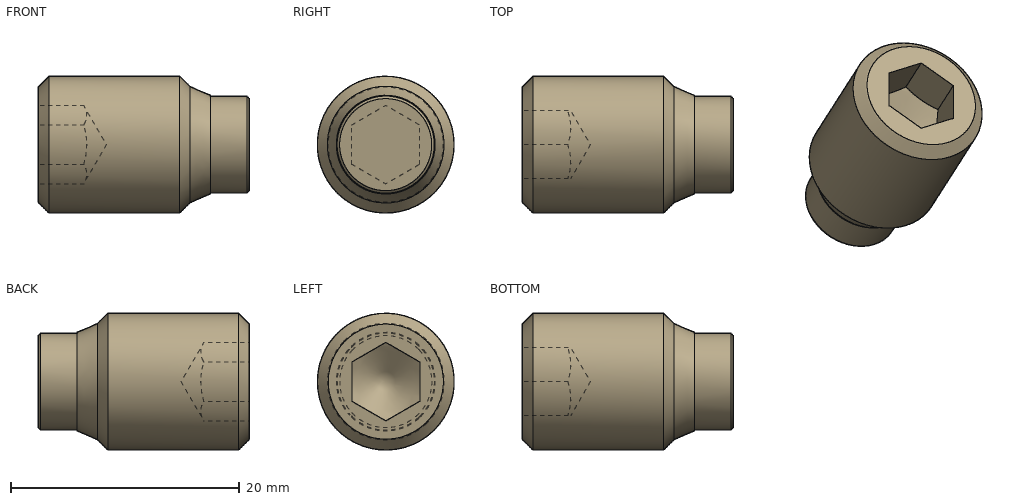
import cadquery as cq
import math

length = 18.5
body_diameter = 12.0
body_radius = body_diameter / 2
neck_radius = 4.25

bevel_length = 0.95
edge_break_length = 0.1
edge_break_height = 0.11

shoulder_start = 12.4
shoulder_bevel = 0.89
flare_end = 15.1
flare_end_radius = 4.33
flare_sag = 0.02

tip_chamfer = 0.22

hex_flats = 5.95
hex_depth = 4.0
floor_cone_angle = 120.0


def make_body():
    """Revolve the outer profile about the X axis."""
    bevel_inner_radius = body_radius - (bevel_length - edge_break_length)
    face_radius = bevel_inner_radius - edge_break_height
    flare_start = shoulder_start + shoulder_bevel
    flare_start_radius = body_radius - shoulder_bevel
    flare_middle = (
        (flare_start + flare_end) / 2,
        (flare_start_radius + flare_end_radius) / 2 - flare_sag,
    )
    profile = (
        cq.Workplane("XY")
        .moveTo(0, 0)
        .lineTo(0, face_radius)
        .lineTo(edge_break_length, bevel_inner_radius)
        .lineTo(bevel_length, body_radius)
        .lineTo(shoulder_start, body_radius)
        .lineTo(flare_start, flare_start_radius)
        .threePointArc(flare_middle, (flare_end, flare_end_radius))
        .lineTo(flare_end, neck_radius)
        .lineTo(length - tip_chamfer, neck_radius)
        .lineTo(length, neck_radius - tip_chamfer)
        .lineTo(length, 0)
        .close()
    )
    return profile.revolve(360, (0, 0, 0), (1, 0, 0))


def make_socket():
    """Hexagonal prism with corners up and down, trimmed by the floor cone."""
    corner_radius = hex_flats / math.sqrt(3)
    corners = [
        (
            corner_radius * math.sin(math.radians(60 * i)),
            corner_radius * math.cos(math.radians(60 * i)),
        )
        for i in range(6)
    ]
    cone_height = corner_radius / math.tan(math.radians(floor_cone_angle / 2))
    prism = cq.Workplane("YZ").polyline(corners).close().extrude(hex_depth + cone_height)
    envelope = (
        cq.Workplane("XY")
        .polyline([
            (0, 0),
            (0, corner_radius),
            (hex_depth, corner_radius),
            (hex_depth + cone_height, 0),
        ])
        .close()
        .revolve(360, (0, 0, 0), (1, 0, 0))
    )
    return prism.intersect(envelope)


result = make_body().cut(make_socket())